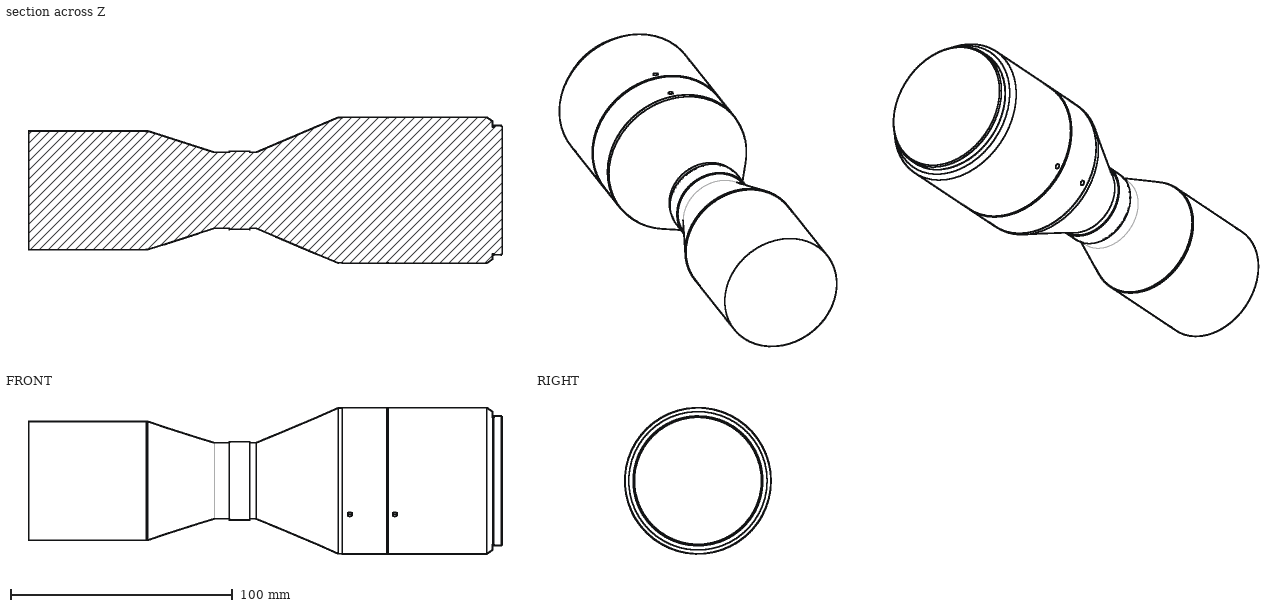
import cadquery as cq
import math

total_length = 213.8
rear_barrel_end = 53.0
rear_cone_start = 53.9
rear_cone_end = 83.8
waist_ring_start = 90.7
waist_ring_end = 99.8
front_cone_start = 102.6
front_cone_end = 139.6
front_barrel_start = 141.5
barrel_joint = 161.8
shoulder_start = 206.7
shoulder_end = 209.3

barrel_radius = 33.03
collar_radius = barrel_radius - 0.1
shoulder_radius = 31.2
lip_radius = 29.3
rear_radius = 26.83
waist_radius = 17.21
waist_ring_radius = 17.7

groove_width = 0.6
groove_depth = 0.2
lip_edge = 0.6
screw_hole_diameter = 2.1
screw_hole_depth = 2.1
screw_hole_offset = 3.5
screw_hole_count = 3
first_screw_angle = 87.3


def turned_body():
    """Revolve the stepped half outline about the X axis."""
    outline = [
        (0, 0),
        (0, rear_radius),
        (rear_barrel_end, rear_radius),
        (rear_barrel_end, rear_radius - groove_depth),
        (rear_cone_start, rear_radius - groove_depth),
        (rear_cone_start, rear_radius),
        (rear_cone_end, waist_radius),
        (waist_ring_start, waist_radius),
        (waist_ring_start, waist_ring_radius),
        (waist_ring_end, waist_ring_radius),
        (waist_ring_end, waist_radius),
        (front_cone_start, waist_radius),
        (front_cone_end, collar_radius),
        (front_barrel_start, collar_radius),
        (front_barrel_start, barrel_radius),
        (barrel_joint - groove_width / 2, barrel_radius),
        (barrel_joint - groove_width / 2, barrel_radius - groove_depth),
        (barrel_joint + groove_width / 2, barrel_radius - groove_depth),
        (barrel_joint + groove_width / 2, barrel_radius),
        (shoulder_start, barrel_radius),
        (shoulder_end, shoulder_radius),
        (shoulder_end, lip_radius - lip_edge),
        (shoulder_end + lip_edge, lip_radius - lip_edge),
        (shoulder_end + lip_edge, lip_radius),
        (total_length - lip_edge, lip_radius),
        (total_length, lip_radius - lip_edge),
        (total_length, 0),
    ]
    profile = cq.Workplane("XY").polyline(outline).close()
    return profile.revolve(360, (0, 0, 0), (1, 0, 0))


def screw_hole(x, angle):
    """Radial cutter for one blind set-screw hole in the front barrel."""
    direction = cq.Vector(0, math.cos(math.radians(angle)), math.sin(math.radians(angle)))
    bottom = cq.Vector(x, 0, 0) + direction * (barrel_radius - screw_hole_depth)
    cutter_length = 2 * screw_hole_depth
    return cq.Solid.makeCylinder(screw_hole_diameter / 2, cutter_length, bottom, direction)


result = turned_body()

for section_start in (front_barrel_start, barrel_joint):
    for index in range(screw_hole_count):
        hole_angle = first_screw_angle + index * 360 / screw_hole_count
        result = result.cut(screw_hole(section_start + screw_hole_offset, hole_angle))